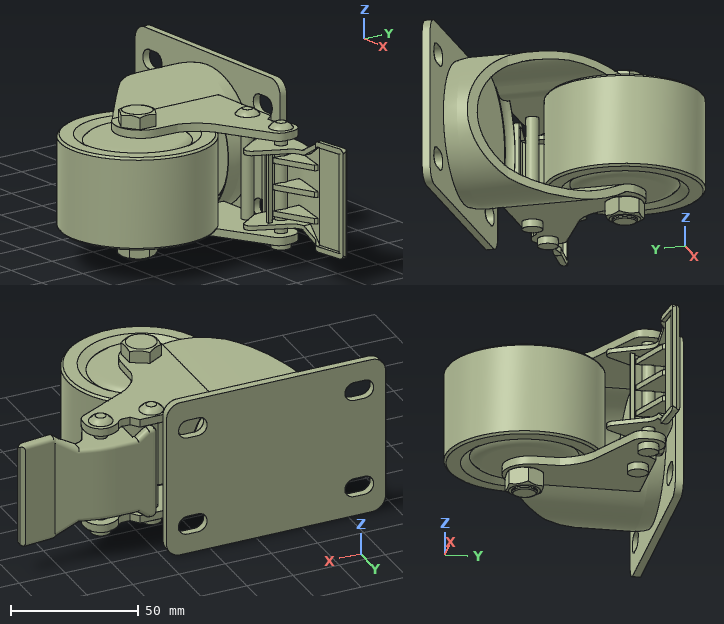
import cadquery as cq
import math


PLATE_LENGTH = 95.0
PLATE_WIDTH = 68.0
PLATE_THICKNESS = 3.3
PLATE_CORNER_RADIUS = 6.1
SLOT_LENGTH = 12.3
SLOT_WIDTH = 7.9
SLOT_X = 36.1
SLOT_Z = 21.5

SHEET = 3.3
FORK_RADIUS = 30.0
FORK_INNER_RADIUS = FORK_RADIUS - SHEET
CROWN_HEIGHT = 6.0
CROWN_TAPER = 1.0
RIM_BOTTOM = -12.2
RIM_ROUND = 3.0
LEG_TOP = -8.8
LEG_OUTER_Z = 23.1
LEG_INNER_Z = LEG_OUTER_Z - SHEET
BEND_START_X = 13.5
BEND_RADIUS = 9.0
LUG_RADIUS = 6.7

AXLE_X = 30.1
AXLE_Y = -57.0
WHEEL_RADIUS = 31.7
WHEEL_WIDTH = 38.0
TREAD_CHAMFER = 0.9
GROOVE_OUTER_RADIUS = 25.1
GROOVE_FLOOR_RADIUS = 21.6
HUB_FLAT_RADIUS = 16.6
GROOVE_DEPTH = 2.6

BOLT_RADIUS = 5.0
HEX_FLATS = 13.9
HEX_CHAMFER_RADIUS = 6.2
HEX_CHAMFER_SLOPE = math.tan(math.radians(30))
HEAD_HEIGHT = 5.8
NUT_HEIGHT = 7.6
BOLT_END = 1.0
BOLT_END_CHAMFER = 0.5

RIVET_Y = -14.6
STOP_RIVET_X = 45.7
PIVOT_RIVET_X = 67.6
RIVET_RADIUS = 2.6
DOME_RADIUS = 4.9
DOME_FLAT_RADIUS = 2.1
DOME_HEIGHT = 2.3
TAIL_RADIUS = 4.1
TAIL_HEIGHT = 3.0

PEDAL_BACK_X = 47.4
OVERALL_LENGTH = 152.3
PEDAL_TIP_X = OVERALL_LENGTH - PLATE_LENGTH / 2
PEDAL_BACK_HALF_WIDTH = 19.8
PEDAL_HALF_WIDTH = 16.3
TREADLE_HALF_WIDTH = 22.7
TREADLE_X = 89.8
PEDAL_TOP = -5.2
PEDAL_WALL = 1.8
TREADLE_RIM = 2.3
PEDAL_CORNER_RADIUS = 2.1
PEDAL_EDGE_RADIUS = 1.8
WEB_END_X = 69.6
WEB_BOTTOM = -22.2
WEB_RADIUS = 4.4
WEB_LEAN = math.radians(60)
WEB_LENGTH = 15.7
RIB_THICKNESS = 2.3
RIB_PITCH = 11.0

REACH = 152.3


def prism(outline, half_width):
    """Extrude a closed XY outline equally to both sides of the middle plane."""
    return outline.extrude(half_width, both=True)


def post(x, y, radius, z_low, z_high):
    """A round post along Z."""
    return cq.Workplane("XY", origin=(x, y, z_low)).circle(radius).extrude(z_high - z_low)


def mounting_plate():
    """A round-cornered plate with four slots along X."""
    plate = cq.Workplane("XZ").rect(PLATE_LENGTH, PLATE_WIDTH).extrude(-PLATE_THICKNESS)
    plate = plate.edges("|Y").fillet(PLATE_CORNER_RADIUS)
    corners = [(sx * SLOT_X, sz * SLOT_Z) for sx in (-1, 1) for sz in (-1, 1)]
    slots = cq.Workplane("XZ").pushPoints(corners).slot2D(SLOT_LENGTH, SLOT_WIDTH)
    return plate.cut(slots.extrude(-PLATE_THICKNESS))


def fork_crown():
    """The round head under the plate, drawn in toward the plate."""
    arc_radius = (CROWN_HEIGHT**2 + CROWN_TAPER**2) / (2 * CROWN_TAPER)
    half_height = CROWN_HEIGHT / 2
    half_taper = arc_radius - math.sqrt(arc_radius**2 - half_height**2)
    section = (
        cq.Workplane("XY")
        .lineTo(0, LEG_TOP)
        .lineTo(FORK_RADIUS, LEG_TOP)
        .lineTo(FORK_RADIUS, -CROWN_HEIGHT)
        .threePointArc(
            (FORK_RADIUS - half_taper, -half_height),
            (FORK_RADIUS - CROWN_TAPER, 0),
        )
        .close()
    )
    return section.revolve(360, (0, 0, 0), (0, 1, 0))


def fork_rim():
    """The ring that closes the fork below the crown, its inner lower edge rounded."""
    section = (
        cq.Workplane("XY")
        .moveTo(FORK_RADIUS, LEG_TOP)
        .lineTo(FORK_INNER_RADIUS, LEG_TOP)
        .lineTo(FORK_INNER_RADIUS, RIM_BOTTOM + RIM_ROUND)
        .radiusArc((FORK_INNER_RADIUS + RIM_ROUND, RIM_BOTTOM), RIM_ROUND)
        .lineTo(FORK_RADIUS, RIM_BOTTOM)
        .close()
    )
    return section.revolve(360, (0, 0, 0), (0, 1, 0))


def fork_outside():
    """An upright cylinder that runs on into a flat-sided block toward +X."""
    column = cq.Workplane("XZ").circle(FORK_RADIUS).extrude(REACH)
    block = cq.Workplane("XZ").rect(REACH, 2 * LEG_OUTER_Z).extrude(REACH)
    return column.union(block.translate((REACH / 2, 0, 0)))


def fork_inside():
    """The space within the sheet: each side leaves the cylinder on a tangent and bends into the leg."""
    start_z = math.sqrt(FORK_INNER_RADIUS**2 - BEND_START_X**2)
    slope_angle = math.asin(BEND_START_X / FORK_INNER_RADIUS)
    corner_x = BEND_START_X + (start_z - LEG_INNER_Z) / math.tan(slope_angle)
    setback = BEND_RADIUS * math.tan(slope_angle / 2)
    bend_from = (
        corner_x - setback * math.cos(slope_angle),
        LEG_INNER_Z + setback * math.sin(slope_angle),
    )
    half = (
        cq.Workplane("XZ")
        .lineTo(0, start_z)
        .lineTo(BEND_START_X, start_z)
        .lineTo(*bend_from)
        .tangentArcPoint((corner_x + setback, LEG_INNER_Z), relative=False)
        .lineTo(REACH, LEG_INNER_Z)
        .lineTo(REACH, 0)
        .close()
        .extrude(REACH)
    )
    column = cq.Workplane("XZ").circle(FORK_INNER_RADIUS).extrude(REACH)
    return column.union(half).union(half.mirror("XY"))


def fork_side_outline():
    """The fork's side shape: raked back edge, rounded axle end, rivet lug and top notch."""
    lug_diagonal = LUG_RADIUS * math.sqrt(0.5)
    lug_right = PIVOT_RIVET_X + LUG_RADIUS
    return (
        cq.Workplane("XY")
        .moveTo(-FORK_RADIUS, LEG_TOP)
        .lineTo(-FORK_RADIUS, -10.0)
        .lineTo(-16.1, -22.8)
        .lineTo(0, -43.0)
        .lineTo(21.5, -63.2)
        .threePointArc((24.4, -64.5), (27.4, -65.3))
        .threePointArc((36.8, -62.1), (39.9, -54.8))
        .lineTo(40.2, -44.6)
        .threePointArc((42.8, -39.0), (48.4, -33.2))
        .lineTo(72.0, -21.2)
        .threePointArc((73.5, -19.8), (lug_right, -17.0))
        .lineTo(lug_right, RIVET_Y)
        .threePointArc(
            (PIVOT_RIVET_X + lug_diagonal, RIVET_Y + lug_diagonal),
            (PIVOT_RIVET_X, RIVET_Y + LUG_RADIUS),
        )
        .threePointArc((64.3, -8.8), (62.0, -10.4))
        .threePointArc((60.8, -11.7), (59.1, -12.3))
        .lineTo(56.0, -12.3)
        .lineTo(53.3, LEG_TOP)
        .close()
    )


def make_bracket():
    """Plate and fork in one piece, bored for the bolt and the rivets."""
    legs = fork_outside().cut(fork_inside()).union(fork_rim()).intersect(prism(fork_side_outline(), REACH))
    bracket = mounting_plate().union(fork_crown()).union(legs)
    bracket = bracket.cut(post(AXLE_X, AXLE_Y, BOLT_RADIUS, -REACH, REACH))
    for x in (STOP_RIVET_X, PIVOT_RIVET_X):
        bracket = bracket.cut(post(x, RIVET_Y, RIVET_RADIUS, -REACH, REACH))
    return bracket


def make_wheel():
    """A tread with a rounded hub and a groove around it on both faces."""
    face = WHEEL_WIDTH / 2
    swell = GROOVE_FLOOR_RADIUS - HUB_FLAT_RADIUS
    swell_radius = (swell**2 + GROOVE_DEPTH**2) / (2 * GROOVE_DEPTH)
    section = (
        cq.Workplane("XZ")
        .moveTo(BOLT_RADIUS, -face)
        .lineTo(HUB_FLAT_RADIUS, -face)
        .radiusArc((GROOVE_FLOOR_RADIUS, GROOVE_DEPTH - face), -swell_radius)
        .lineTo(GROOVE_OUTER_RADIUS, -face)
        .lineTo(WHEEL_RADIUS - TREAD_CHAMFER, -face)
        .lineTo(WHEEL_RADIUS, TREAD_CHAMFER - face)
        .lineTo(WHEEL_RADIUS, face - TREAD_CHAMFER)
        .lineTo(WHEEL_RADIUS - TREAD_CHAMFER, face)
        .lineTo(GROOVE_OUTER_RADIUS, face)
        .lineTo(GROOVE_FLOOR_RADIUS, face - GROOVE_DEPTH)
        .radiusArc((HUB_FLAT_RADIUS, face), -swell_radius)
        .lineTo(BOLT_RADIUS, face)
        .close()
    )
    return section.revolve(360, (0, 0, 0), (0, 1, 0)).translate((AXLE_X, AXLE_Y, 0))


def hex_block(height, turn, near_chamfer):
    """A hexagon standing on Z = 0, its far corners, and near ones if asked, cut at 30 degrees."""
    corner_radius = HEX_FLATS / math.sqrt(3)
    drop = (corner_radius - HEX_CHAMFER_RADIUS) * HEX_CHAMFER_SLOPE
    block = cq.Workplane("XY").polygon(6, 2 * corner_radius).extrude(height)
    cutter = cq.Workplane("XZ").polyline([
        (HEX_CHAMFER_RADIUS, height),
        (corner_radius, height - drop),
        (corner_radius, height),
    ])
    cutter = cutter.close().revolve(360, (0, 0, 0), (0, 1, 0))
    block = block.cut(cutter)
    if near_chamfer:
        block = block.cut(cutter.mirror("XY").translate((0, 0, height)))
    return block.rotate((0, 0, 0), (0, 0, 1), turn)


def make_bolt():
    """A hexagon head on the upper leg and a shank that ends just past the nut."""
    end_z = -LEG_OUTER_Z - NUT_HEIGHT - BOLT_END
    shank = post(0, 0, BOLT_RADIUS, end_z, LEG_OUTER_Z).faces("<Z").chamfer(BOLT_END_CHAMFER)
    head = hex_block(HEAD_HEIGHT, 30, near_chamfer=False).translate((0, 0, LEG_OUTER_Z))
    return shank.union(head).translate((AXLE_X, AXLE_Y, 0))


def make_nut():
    """A hexagon nut under the lower leg."""
    nut = hex_block(NUT_HEIGHT, 0, near_chamfer=True).cut(post(0, 0, BOLT_RADIUS, 0, NUT_HEIGHT))
    return nut.mirror("XY").translate((AXLE_X, AXLE_Y, -LEG_OUTER_Z))


def make_rivet(x):
    """A domed head above the upper leg, a shank and a plain tail below the lower leg."""
    sphere_z = (DOME_FLAT_RADIUS**2 + DOME_HEIGHT**2 - DOME_RADIUS**2) / (2 * DOME_HEIGHT)
    sphere_radius = math.hypot(DOME_RADIUS, sphere_z)
    dome_mid_radius = math.sqrt(sphere_radius**2 - (DOME_HEIGHT / 2 - sphere_z) ** 2)
    return (
        cq.Workplane("XZ")
        .moveTo(0, LEG_OUTER_Z + DOME_HEIGHT)
        .lineTo(DOME_FLAT_RADIUS, LEG_OUTER_Z + DOME_HEIGHT)
        .threePointArc((dome_mid_radius, LEG_OUTER_Z + DOME_HEIGHT / 2), (DOME_RADIUS, LEG_OUTER_Z))
        .lineTo(RIVET_RADIUS, LEG_OUTER_Z)
        .lineTo(RIVET_RADIUS, -LEG_OUTER_Z)
        .lineTo(TAIL_RADIUS, -LEG_OUTER_Z)
        .lineTo(TAIL_RADIUS, -LEG_OUTER_Z - TAIL_HEIGHT)
        .lineTo(0, -LEG_OUTER_Z - TAIL_HEIGHT)
        .close()
        .revolve(360, (0, 0, 0), (0, 1, 0))
        .translate((x, RIVET_Y, 0))
    )


def pedal_plan(wall, rim):
    """The pedal plan as a tall block, drawn in by the wall and the treadle rim."""
    half = [
        (PEDAL_BACK_X + wall, PEDAL_BACK_HALF_WIDTH - wall),
        (51.2, PEDAL_BACK_HALF_WIDTH - wall),
        (55.7, PEDAL_HALF_WIDTH - wall),
        (79.5 + wall / 2, PEDAL_HALF_WIDTH - wall),
        (TREADLE_X, TREADLE_HALF_WIDTH - rim),
        (PEDAL_TIP_X - rim, TREADLE_HALF_WIDTH - rim),
    ]
    outline = half + [(x, -z) for x, z in reversed(half)]
    return cq.Workplane("XZ").polyline(outline).close().extrude(REACH, both=True)


def pedal_top_line(drop):
    """The pedal's upper skin from back to treadle tip, lowered by a drop."""
    return (
        cq.Workplane("XY")
        .moveTo(PEDAL_BACK_X, PEDAL_TOP - drop)
        .lineTo(65.5, PEDAL_TOP - drop)
        .threePointArc((70.2, -5.5 - drop), (74.6, -6.4 - drop))
        .lineTo(89.4, -10.2 - drop)
        .lineTo(103.0, -8.8 - drop)
    )


def pedal_side():
    """The pedal's side shape: cam tooth under the pivot, treadle at the tip."""
    return (
        pedal_top_line(0)
        .lineTo(PEDAL_TIP_X - 0.3, -10.5)
        .lineTo(PEDAL_TIP_X, -12.0)
        .lineTo(90.7, -13.7)
        .lineTo(88.9, -13.7)
        .lineTo(87.1, -12.2)
        .lineTo(80.1, -13.1)
        .threePointArc((76.6, -14.3), (74.5, -17.7))
        .lineTo(68.8, -29.0)
        .threePointArc((65.8, -30.9), (63.2, -29.2))
        .lineTo(56.6, -19.2)
        .lineTo(56.6, -8.7)
        .lineTo(PEDAL_BACK_X, -8.7)
        .close()
    )


def pedal_web():
    """A curved sheet between the pedal walls, bent under the pivot rivet."""
    center_x = WEB_END_X
    center_y = WEB_BOTTOM + WEB_RADIUS

    def on_arc(radius, angle):
        return (center_x - radius * math.sin(angle), center_y - radius * math.cos(angle))

    def at_top(point):
        return (
            point[0] - WEB_LENGTH * math.cos(WEB_LEAN),
            point[1] + WEB_LENGTH * math.sin(WEB_LEAN),
        )

    inner = WEB_RADIUS - PEDAL_WALL
    outline = (
        cq.Workplane("XY")
        .moveTo(*at_top(on_arc(WEB_RADIUS, WEB_LEAN)))
        .lineTo(*on_arc(WEB_RADIUS, WEB_LEAN))
        .threePointArc(on_arc(WEB_RADIUS, WEB_LEAN / 2), on_arc(WEB_RADIUS, 0))
        .lineTo(*on_arc(inner, 0))
        .threePointArc(on_arc(inner, WEB_LEAN / 2), on_arc(inner, WEB_LEAN))
        .lineTo(*at_top(on_arc(inner, WEB_LEAN)))
        .close()
    )
    return prism(outline, PEDAL_HALF_WIDTH - PEDAL_WALL / 2)


def pedal_rib(z):
    """A stiffening rib from the web to the treadle, centred at one Z."""
    outline = [
        (WEB_END_X, -6.4),
        (WEB_END_X, -20.0),
        (87.1, -12.8),
        (88.2, -11.3),
        (79.2, -8.2),
    ]
    return prism(cq.Workplane("XY").polyline(outline).close(), RIB_THICKNESS / 2).translate((0, 0, z))


def round_pedal_top(pedal):
    """Round the rim of the top skin, leaving the folds that cross it and the tip."""
    steepest_up = math.cos(math.radians(45))
    straight_across = math.cos(math.radians(5))
    back_end_x = PEDAL_BACK_X + PEDAL_WALL
    rim_edges = []
    for face in pedal.faces().vals():
        if face.normalAt().y < steepest_up:
            continue
        for edge in face.Edges():
            is_fold = abs(edge.tangentAt(0.5).z) > straight_across and edge.Center().x > back_end_x
            if not is_fold:
                rim_edges.append(edge)
    return pedal.newObject(rim_edges).fillet(PEDAL_EDGE_RADIUS)


def make_pedal():
    """A hollow brake pedal, open below, with its web, ribs and pivot bore."""
    outer = pedal_plan(0, 0).edges("|Y").edges("<X or >X").fillet(PEDAL_CORNER_RADIUS)
    pedal = outer.intersect(prism(pedal_side(), REACH))
    pedal = round_pedal_top(pedal)
    below_skin = pedal_top_line(PEDAL_WALL).lineTo(PEDAL_TIP_X, -10.7)
    below_skin = below_skin.lineTo(PEDAL_TIP_X, -REACH).lineTo(PEDAL_BACK_X, -REACH).close()
    pedal = pedal.cut(pedal_plan(PEDAL_WALL, TREADLE_RIM).intersect(prism(below_skin, REACH)))
    pedal = pedal.union(pedal_web())
    for step in (-1, 0, 1):
        pedal = pedal.union(pedal_rib(step * RIB_PITCH))
    return pedal.cut(post(PIVOT_RIVET_X, RIVET_Y, RIVET_RADIUS, -REACH, REACH))


bracket = make_bracket()
wheel = make_wheel()
bolt = make_bolt()
nut = make_nut()
rivets = [make_rivet(x) for x in (STOP_RIVET_X, PIVOT_RIVET_X)]
pedal = make_pedal()

result = cq.Compound.makeCompound(
    [
        bracket.val(),
        wheel.val(),
        bolt.val(),
        nut.val(),
        *[rivet.val() for rivet in rivets],
        pedal.val(),
    ]
)